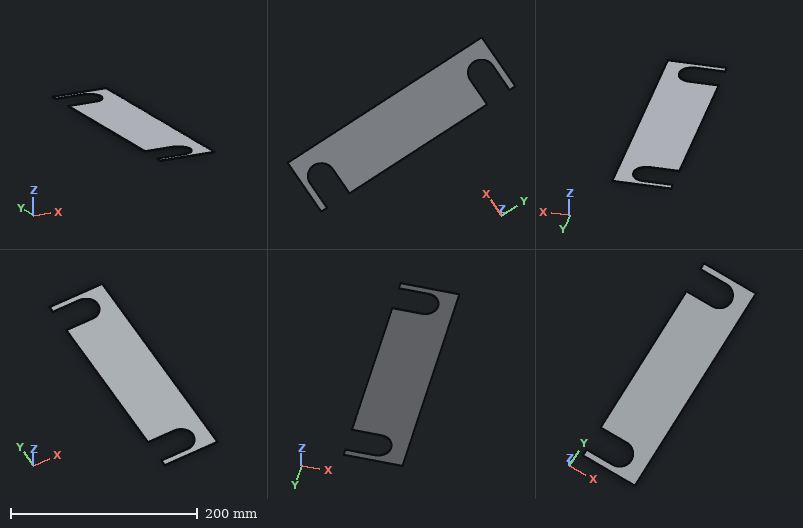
import cadquery as cq

width = 65.0
length = 250.0
thickness = 1.0

slot_width = 28.8
slot_depth = 47.0
slot_end_distance = 22.0

slot_radius = slot_width / 2
slot_offset = length / 2 - slot_end_distance
open_edge = -width / 2
arc_center = open_edge + slot_depth - slot_radius


def open_slot(center_y):
    """Cutter for one slot: a straight run in from the edge, ending in a half circle."""
    return (
        cq.Workplane("XY")
        .moveTo(open_edge, center_y - slot_radius)
        .lineTo(arc_center, center_y - slot_radius)
        .threePointArc((arc_center + slot_radius, center_y), (arc_center, center_y + slot_radius))
        .lineTo(open_edge, center_y + slot_radius)
        .close()
        .extrude(thickness)
    )


result = cq.Workplane("XY").rect(width, length).extrude(thickness)
for side in (-1, 1):
    result = result.cut(open_slot(side * slot_offset))